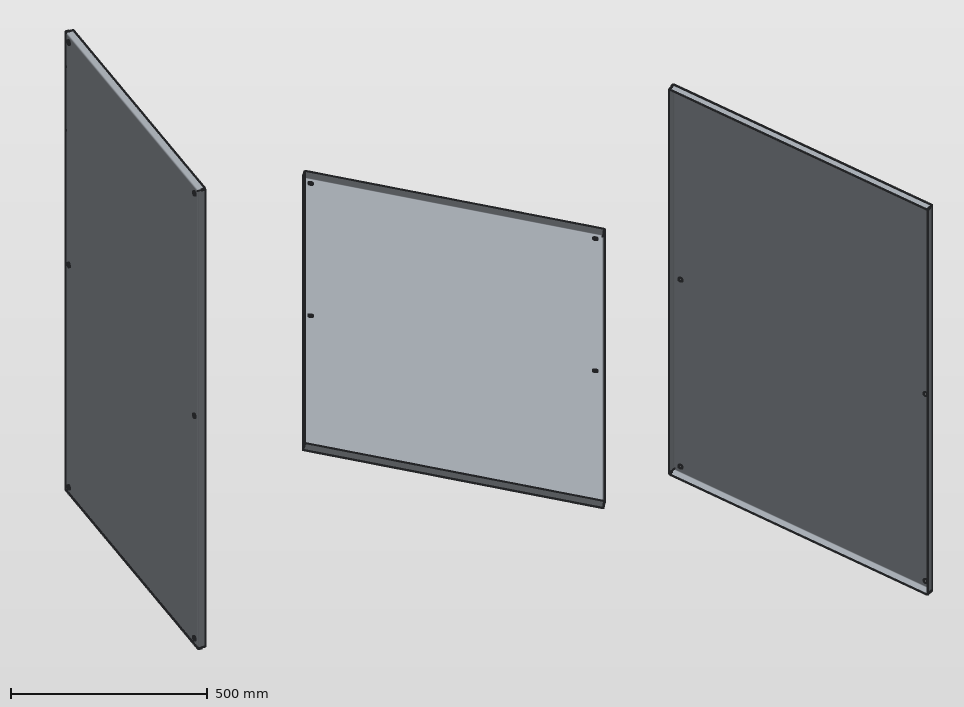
import cadquery as cq

width = 784.0
depth = 23.0
height = 1422.0
sheet = 2.0
bend_radius = 4.0
corner_gap = 3.0
gap_depth = 11.0
hole_diameter = 13.0
hole_inset = 21.0


def folded_tray():
    """Open-backed tray with rounded bends along its four front edges."""
    inner_radius = bend_radius - sheet
    outer = cq.Workplane("XY").box(width, depth, height).faces("<Y").edges().fillet(bend_radius)
    inner = (
        cq.Workplane("XY")
        .box(width - 2 * sheet, depth, height - 2 * sheet)
        .faces("<Y")
        .edges()
        .fillet(inner_radius)
        .translate((0, sheet, 0))
    )
    return outer.cut(inner)


def corner_reliefs():
    """Square notches that separate neighbouring flanges at the four corners."""
    return (
        cq.Workplane("XZ", origin=(0, depth / 2, 0))
        .rect(width - corner_gap, height - corner_gap, forConstruction=True)
        .vertices()
        .rect(corner_gap, corner_gap)
        .extrude(gap_depth)
    )


def mounting_holes():
    """Two columns of three holes through the front sheet."""
    column_x = width / 2 - hole_inset
    row_z = height / 2 - hole_inset
    centers = [(x, z) for x in (-column_x, column_x) for z in (-row_z, 0, row_z)]
    return (
        cq.Workplane("XZ", origin=(0, depth / 2, 0))
        .pushPoints(centers)
        .circle(hole_diameter / 2)
        .extrude(depth)
    )


result = folded_tray().cut(corner_reliefs()).cut(mounting_holes())